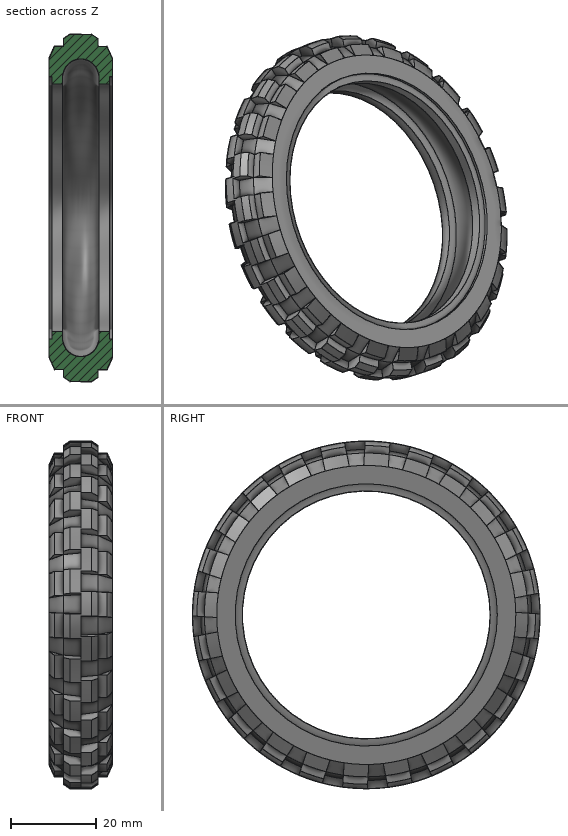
import cadquery as cq

outer_radius = 40.8
half_width = 7.5

crown_base_radius = 38.85
shoulder_x = 4.1
shoulder_diameter = 76.0
shoulder_radius = shoulder_diameter / 2
sidewall_radius = 35.1

bead_radius = 29.05
bead_inner_x = 4.25
rim_seat_radius = 30.8
rim_seat_depth = 0.7

bead_top_radius = 31.2
cavity_half_width = 4.1
cavity_wall_radius = 31.7
cavity_roof_radius = 34.9

blocks_per_side = 24
block_pitch = 360.0 / blocks_per_side
block_width = 5.8
crown_flat_x = 2.5
crown_bevel_radius = 39.7
side_flat_x = 6.2
block_root_radius = 36.7

rim_seat_x = half_width - rim_seat_depth


def revolve_about_x(profile):
    """Turn a profile drawn as (X, radius) through a full circle about the X axis."""
    return profile.revolve(360, (0, 0, 0), (1, 0, 0))


def make_carcass():
    half_outline = [
        (cavity_half_width, cavity_wall_radius),
        (bead_inner_x, bead_top_radius),
        (bead_inner_x, bead_radius),
        (rim_seat_x, bead_radius),
        (rim_seat_x, rim_seat_radius),
        (half_width, rim_seat_radius),
        (half_width, sidewall_radius),
        (shoulder_x, shoulder_radius),
        (0, crown_base_radius),
    ]
    mirrored_outline = [(-x, radius) for x, radius in reversed(half_outline[:-1])]
    profile = (
        cq.Workplane("XY")
        .polyline(half_outline + mirrored_outline)
        .threePointArc((0, cavity_roof_radius), half_outline[0])
        .close()
    )
    return revolve_about_x(profile)


def make_tread_block():
    """One block of the +X row, pointing along +Z: a crown step and a lower side step."""
    ring = revolve_about_x(
        cq.Workplane("XY").polyline([
            (0, block_root_radius),
            (0, outer_radius),
            (crown_flat_x, outer_radius),
            (shoulder_x, crown_bevel_radius),
            (shoulder_x, shoulder_radius),
            (side_flat_x, shoulder_radius),
            (half_width, sidewall_radius),
            (shoulder_x, sidewall_radius),
        ]).close()
    )
    block_slab = cq.Workplane("XY").box(
        2 * half_width, block_width, outer_radius, centered=(True, True, False))
    return ring.intersect(block_slab)


def make_tread_blocks():
    """Both rows of blocks, staggered by half a pitch across the plane X = 0."""
    right_block = make_tread_block()
    left_block = right_block.mirror("YZ")
    blocks = []
    for i in range(blocks_per_side):
        for block, stagger in ((right_block, -block_pitch / 4), (left_block, block_pitch / 4)):
            angle = i * block_pitch + stagger
            blocks.append(block.rotate((0, 0, 0), (1, 0, 0), angle).val())
    return blocks


carcass = make_carcass().val()
result = cq.Workplane("XY").newObject(carcass.fuse(*make_tread_blocks()).Solids())